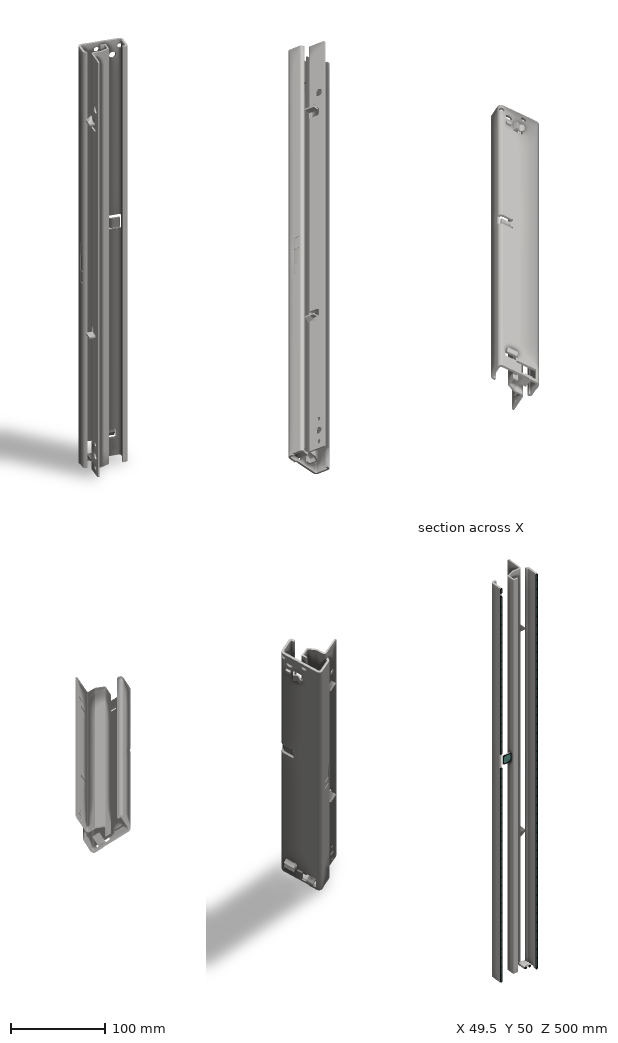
import cadquery as cq
import math

LENGTH = 500.0
FOOT_STEP = 1.5

CHANNEL_DEPTH = 50.0
CHANNEL_WIDTH = 20.5
CHANNEL_SHEET = 2.5
CHANNEL_BEND = 4.5
LIP_BEND = 3.5
FRONT_LIP = 4.0
BACK_LIP = 6.0
CORNER_WIDTH = 7.5
CORNER_DEPTH = 14.0

RAIL_SHEET = 1.75
RAIL_LEFT = 8.5
RAIL_LIP_END = 22.5
RAIL_BACK = 28.75
RAIL_SLOPE_START = 19.25
RAIL_SLOPE_END = 18.5
RAIL_WALL = 23.75
FOOT_FRONT = 7.5
FOOT_END = 44.5
FOOT_CORNER = 1.5
FOOT_BEND = 1.5
ROUND_HOLES = [
    (9.5, 4.5),
    (23.5, 7.5),
    (37.5, 4.5),
    (439.0, 8.5),
]
ROUND_HOLE_X = 36.5
SLOT_LEFT = 23.25
SLOT_RIGHT = 37.0
SLOT_HEIGHT = 9.5
SLOT_CORNER = 3.0
STOP_FRONT = 1.5
STOP_RIGHT = 34.5
GUSSET_WIDTH = 6.5
GUSSET_HEIGHT = 4.5
SLOTS = [
    (421.0, -1),
    (164.0, 1),
]

WEB_HOLES = [
    (46.5, 492.0, 5.5),
    (20.5, 491.5, 6.0),
    (38.5, 482.0, 7.5),
]

PEG_CENTRE = (39.25, 468.5)
PEG_WIDTH = 5.5
PEG_HEIGHT = 4.5
PEG_REACH = 2.5

TONGUE_Z = 281.5
TONGUE_WIDTH = 11.0
TONGUE_ROOT = 33.5
TONGUE_RISE = 3.0
TONGUE_TIP = 46.0
TONGUE_WINDOW = 17.0

CLIP_REACH = 5.0
CLIP_LENGTH = 11.5
CLIP_CREST = 2.25
CLIP_NARROWEST = 7.0
CLIP_WIDTH = 12.5
CLIP_SHEET = 1.75
CLIP_WAIST = 1.0
CLIP_CHAMFER = 2.5
SIDE_CLIP_ROOT = (33.5, 467.5)
LOW_CLIP_ROOT = (36.25, 34.5)

WINDOW_FRONT = 5.5
WINDOW_BACK = 23.0
WINDOW_TOP = 23.5
WINDOW_BOTTOM = 5.0
WINDOW_SLIT_BACK = 29.0
WINDOW_SLIT_HEIGHT = 3.5
SHELF_FRONT = 9.5
SHELF_BACK = 18.0
SHELF_END = 14.5
SHELF_TOP = 8.5
SHELF_BEND = 3.0
SHELF_DENT = 3.0
SHELF_DENT_DEPTH = 1.25

RECESS_LEFT = 8.75
RECESS_BOTTOM = 221.0
RECESS_TOP = 266.0
RECESS_MIDDLE_BOTTOM = 234.5
RECESS_MIDDLE_TOP = 252.5
RECESS_DEPTH = 0.5
RECESS_MIDDLE_DEPTH = 1.0

EDGE_REACH = 0.1


def block(x0, x1, y0, y1, z0, z1):
    """Box between the given limits."""
    return cq.Workplane("XY").box(x1 - x0, y1 - y0, z1 - z0, centered=False).translate((x0, y0, z0))


def sheet_prism(points):
    """Outline in XY extruded over the length of the folded sheets."""
    return cq.Workplane("XY").workplane(offset=FOOT_STEP).polyline(points).close().extrude(LENGTH - FOOT_STEP)


def fillet_at(body, x, y, radius):
    """Round the long edge that passes through (x, y)."""
    near = cq.selectors.BoxSelector(
        (x - EDGE_REACH, y - EDGE_REACH, 0), (x + EDGE_REACH, y + EDGE_REACH, LENGTH)
    )
    return body.edges("|Z").edges(near).fillet(radius)


def channel_sheet():
    t = CHANNEL_SHEET
    w = CHANNEL_WIDTH
    d = CHANNEL_DEPTH
    body = sheet_prism([
        (0, 0), (w, 0), (w, FRONT_LIP), (w - t, FRONT_LIP), (w - t, t), (t, t),
        (t, d - t), (w - t, d - t), (w - t, d - BACK_LIP), (w, d - BACK_LIP), (w, d), (0, d),
    ])
    corner = block(0, CORNER_WIDTH, 0, CORNER_DEPTH, 0, FOOT_STEP)
    corner = corner.cut(block(t, CORNER_WIDTH, t, CORNER_DEPTH, 0, FOOT_STEP))
    body = body.union(corner)
    for y, inner_y in ((0, t), (d, d - t)):
        body = fillet_at(body, 0, y, CHANNEL_BEND)
        body = fillet_at(body, t, inner_y, CHANNEL_BEND - t)
        body = fillet_at(body, w, y, LIP_BEND)
        body = fillet_at(body, w - t, inner_y, LIP_BEND - t)
    return body


def web_openings():
    openings = block(0, CHANNEL_SHEET, WINDOW_FRONT, WINDOW_BACK, WINDOW_BOTTOM, WINDOW_TOP)
    slit_bottom = WINDOW_TOP - WINDOW_SLIT_HEIGHT
    openings = openings.union(block(0, CHANNEL_SHEET, WINDOW_BACK, WINDOW_SLIT_BACK, slit_bottom, WINDOW_TOP))
    for y, z, diameter in WEB_HOLES:
        hole = cq.Workplane("YZ").center(y, z).circle(diameter / 2).extrude(CHANNEL_BEND)
        openings = openings.union(hole)
    return openings


def peg():
    return cq.Workplane("YZ").center(*PEG_CENTRE).rect(PEG_WIDTH, PEG_HEIGHT).extrude(-PEG_REACH)


def tongue_window():
    """Opening around the tongue, which also notches the back bend."""
    half = TONGUE_WINDOW / 2
    return block(0, CHANNEL_BEND, TONGUE_ROOT, CHANNEL_DEPTH, TONGUE_Z - half, TONGUE_Z + half)


def tongue():
    """Strip that slopes inwards by one sheet thickness and then runs parallel to the web."""
    t = CHANNEL_SHEET
    flat = TONGUE_ROOT + TONGUE_RISE
    profile = [
        (0, TONGUE_ROOT), (t, flat), (t, TONGUE_TIP), (2 * t, TONGUE_TIP),
        (2 * t, flat), (t, TONGUE_ROOT),
    ]
    strip = cq.Workplane("XY").polyline(profile).close().extrude(TONGUE_WIDTH)
    return strip.translate((0, 0, TONGUE_Z - TONGUE_WIDTH / 2))


def spring_clip():
    """Clip rooted in the web at the origin, free end towards -Y, width centred on Z = 0."""
    crest = -CLIP_CREST
    waist = -CLIP_NARROWEST
    outside = -CLIP_REACH
    inside = outside + CLIP_SHEET
    profile = [
        (0, 0), (outside, crest), (-CLIP_WAIST - CLIP_SHEET, waist), (outside, -CLIP_LENGTH),
        (inside, -CLIP_LENGTH), (-CLIP_WAIST, waist), (inside, crest),
        (0, crest), (CHANNEL_SHEET, crest), (CHANNEL_SHEET, 0),
    ]
    clip = cq.Workplane("XY").polyline(profile).close().extrude(CLIP_WIDTH)
    return clip.translate((0, 0, -CLIP_WIDTH / 2))


def clip_opening():
    """Opening in the web behind a clip, placed like the clip."""
    half = CLIP_WIDTH / 2
    return block(0, CHANNEL_SHEET, -CLIP_LENGTH, 0, -half, half)


def place_side_clip(shape):
    y, z = SIDE_CLIP_ROOT
    return shape.translate((0, y, z))


def place_low_clip(shape):
    """Turn the free end from -Y to -Z."""
    y, z = LOW_CLIP_ROOT
    return shape.rotate((0, 0, 0), (1, 0, 0), 90).translate((0, y, z))


def chamfered_side_clip():
    clip = spring_clip()
    corners = clip.edges("|X").edges("<Y")
    return place_side_clip(corners.chamfer(CLIP_CHAMFER))


def shelf():
    """Plate folded inwards above the lower edge of the window, with a dent at its root."""
    z = SHELF_TOP
    plate = block(0, SHELF_END, SHELF_FRONT, SHELF_BACK, z - CHANNEL_SHEET, z)
    plate = plate.union(block(0, CHANNEL_SHEET, SHELF_FRONT, SHELF_BACK, WINDOW_BOTTOM, z))
    plate = plate.edges("|Y").edges("<X and >Z").fillet(SHELF_BEND)
    middle = (SHELF_FRONT + SHELF_BACK) / 2
    half = SHELF_DENT / 2
    dent_end = CHANNEL_SHEET + SHELF_DENT
    dent = block(CHANNEL_SHEET, dent_end, middle - half, middle + half, z - SHELF_DENT_DEPTH, z)
    return plate.cut(dent)


def flange_recess():
    right = CHANNEL_WIDTH - LIP_BEND
    panels = block(RECESS_LEFT, right, 0, RECESS_DEPTH, RECESS_BOTTOM, RECESS_TOP)
    middle = block(RECESS_LEFT, right, 0, RECESS_MIDDLE_DEPTH, RECESS_MIDDLE_BOTTOM, RECESS_MIDDLE_TOP)
    return panels.union(middle)


def make_channel():
    body = channel_sheet().cut(web_openings()).cut(tongue_window()).cut(flange_recess())
    body = body.cut(place_side_clip(clip_opening())).cut(place_low_clip(clip_opening()))
    body = body.union(tongue()).union(shelf()).union(peg())
    return body.union(chamfered_side_clip()).union(place_low_clip(spring_clip()))


def rail_sheet():
    t = RAIL_SHEET
    slope_angle = math.atan2(RAIL_BACK - RAIL_SLOPE_END, RAIL_WALL - RAIL_SLOPE_START)
    top_shift = t * math.tan(slope_angle / 2)
    wall_shift = t * math.tan((math.pi / 2 - slope_angle) / 2)
    foot_back = FOOT_FRONT + t
    body = sheet_prism([
        (RAIL_LEFT, RAIL_LIP_END),
        (RAIL_LEFT, RAIL_BACK),
        (RAIL_SLOPE_START, RAIL_BACK),
        (RAIL_WALL, RAIL_SLOPE_END),
        (RAIL_WALL, foot_back),
        (FOOT_END, foot_back),
        (FOOT_END, FOOT_FRONT),
        (RAIL_WALL - t, FOOT_FRONT),
        (RAIL_WALL - t, RAIL_SLOPE_END - wall_shift),
        (RAIL_SLOPE_START - top_shift, RAIL_BACK - t),
        (RAIL_LEFT + t, RAIL_BACK - t),
        (RAIL_LEFT + t, RAIL_LIP_END),
    ])
    body = fillet_at(body, RAIL_WALL, foot_back, FOOT_BEND)
    body = fillet_at(body, RAIL_WALL - t, FOOT_FRONT, FOOT_BEND + t)
    return body.edges("|Y").edges(">X").fillet(FOOT_CORNER)


def foot_holes():
    back = FOOT_FRONT + RAIL_SHEET
    holes = cq.Workplane("XY")
    for z, diameter in ROUND_HOLES:
        hole = cq.Workplane("XZ", origin=(ROUND_HOLE_X, back, z)).circle(diameter / 2).extrude(RAIL_SHEET)
        holes = holes.add(hole)
    return holes.combine()


def foot_slot(edge_z, side):
    """Slot beside the wall, from its edge with the tab in the given Z direction."""
    low, high = sorted((edge_z, edge_z + side * SLOT_HEIGHT))
    slot = block(SLOT_LEFT, SLOT_RIGHT, FOOT_FRONT, FOOT_FRONT + RAIL_SHEET, low, high)
    return slot.edges("|Y").edges(">X").fillet(SLOT_CORNER)


def stop_tab(edge_z, side):
    """Tab standing to the front along the slot edge, braced by a sloping triangular gusset."""
    back = FOOT_FRONT + RAIL_SHEET
    low, high = sorted((edge_z, edge_z + side * RAIL_SHEET))
    tab = block(SLOT_LEFT, STOP_RIGHT, STOP_FRONT, back, low, high)
    far_z = edge_z - side * GUSSET_HEIGHT
    across = [(SLOT_LEFT, edge_z), (SLOT_LEFT + GUSSET_WIDTH, edge_z), (SLOT_LEFT, far_z)]
    upright = [(back, edge_z), (STOP_FRONT, edge_z), (FOOT_FRONT, far_z), (back, far_z)]
    triangle = cq.Workplane("XZ", origin=(0, back, 0)).polyline(across).close().extrude(back - STOP_FRONT)
    wedge = cq.Workplane("YZ", origin=(SLOT_LEFT, 0, 0)).polyline(upright).close().extrude(GUSSET_WIDTH)
    return tab.union(triangle.intersect(wedge))


def make_rail():
    body = rail_sheet().cut(foot_holes())
    for edge_z, side in SLOTS:
        body = body.cut(foot_slot(edge_z, side)).union(stop_tab(edge_z, side))
    return body


channel = make_channel()
rail = make_rail()
result = cq.Compound.makeCompound([channel.val(), rail.val()])